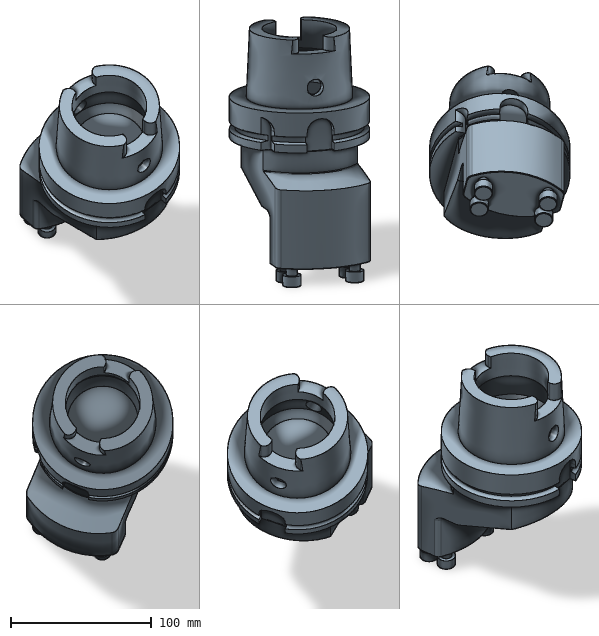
import cadquery as cq
import math


shank_length = 49.9
shank_base_diameter = 75.8
shank_top_diameter = 71.3
cross_hole_diameter = 12.0
cross_hole_depth = 34.8

mouth_diameter = 53.0
mouth_depth = 20.5
undercut_diameter = 63.1
undercut_end_depth = 41.2
shoulder_angle = 30.0
floor_diameter = 50.3

drive_slot_width = 19.1
drive_slot_depth_minus_x = 10.0
drive_slot_depth_plus_x = 15.0
drive_slot_corner_radius = 5.5
drive_slot_flare_x = 32.2

flange_diameter = 100.0
flange_thickness = 29.2
groove_diameter = 92.2
groove_floor_top = -18.6
groove_floor_bottom = -22.5
groove_edge_run_out = 1.0

flange_slot_width = 20.0
flange_slot_top = -4.7
flange_slot_floor_x = 43.8
notch_floor_x = 31.5
notch_y = 41.4

neck_radius = 43.5
neck_fillet_radius = 0.7
body_width = 70.8
foot_reach = 68.0
foot_inner_x = -28.0
foot_arc_radius = 60.9
foot_outer_corner_radius = 5.9
foot_inner_corner_radius = 4.9
foot_top_inner_z = -45.9
foot_top_outer_z = -52.7
foot_bottom_z = -110.3
foot_bottom_chamfer = 0.5
arm_underside_z = -72.3
arm_slope_start_x = -22.0
arm_slope_end_z = -48.2
foot_root_radius = 4.2

screw_xs = (-55.1, -40.2)
screw_y = 23.5
screw_stem_diameter = 8.0
screw_head_diameter = 13.0
screw_head_height = 8.0
screw_head_chamfer = 0.5
total_height = 173.9
screw_bottom_z = shank_length - total_height

body_half_width = body_width / 2
body_height = -flange_thickness - foot_bottom_z


def revolve_profile(points):
    """Revolve a closed (radius, z) outline around the Z axis."""
    return cq.Workplane("XZ").polyline(points).close().revolve(360, (0, 0, 0), (0, 1, 0))


def make_shank_and_flange():
    flange_radius = flange_diameter / 2
    groove_radius = groove_diameter / 2
    return revolve_profile([
        (0, shank_length),
        (shank_top_diameter / 2, shank_length),
        (shank_base_diameter / 2, 0),
        (flange_radius, 0),
        (flange_radius, groove_floor_top + groove_edge_run_out),
        (groove_radius, groove_floor_top),
        (groove_radius, groove_floor_bottom),
        (flange_radius, groove_floor_bottom - groove_edge_run_out),
        (flange_radius, -flange_thickness),
        (0, -flange_thickness),
    ])


def make_clamping_bore():
    slope = math.tan(math.radians(shoulder_angle))
    mouth_radius = mouth_diameter / 2
    undercut_radius = undercut_diameter / 2
    floor_radius = floor_diameter / 2
    mouth_z = shank_length - mouth_depth
    undercut_end_z = shank_length - undercut_end_depth
    return revolve_profile([
        (0, shank_length),
        (mouth_radius, shank_length),
        (mouth_radius, mouth_z),
        (undercut_radius, mouth_z - (undercut_radius - mouth_radius) * slope),
        (undercut_radius, undercut_end_z),
        (floor_radius, undercut_end_z - (undercut_radius - floor_radius) * slope),
        (0, undercut_end_z - (undercut_radius - floor_radius) * slope),
    ])


def make_drive_slot(side, depth):
    """Slot in the shank end, flaring outward with round corners; side is 1 for +X and -1 for -X."""
    half_width = drive_slot_width / 2
    radius = drive_slot_corner_radius
    arc_x = drive_slot_flare_x - radius
    arc_y = half_width + radius
    mid_x = arc_x + radius * math.sin(math.pi / 4)
    mid_y = arc_y - radius * math.cos(math.pi / 4)
    outer = shank_base_diameter / 2
    outline = (
        cq.Workplane("XY", origin=(0, 0, shank_length - depth))
        .moveTo(0, -half_width)
        .lineTo(side * arc_x, -half_width)
        .threePointArc((side * mid_x, -mid_y), (side * drive_slot_flare_x, -arc_y))
        .lineTo(side * drive_slot_flare_x, -outer)
        .lineTo(side * outer, -outer)
        .lineTo(side * outer, outer)
        .lineTo(side * drive_slot_flare_x, outer)
        .lineTo(side * drive_slot_flare_x, arc_y)
        .threePointArc((side * mid_x, mid_y), (side * arc_x, half_width))
        .lineTo(0, half_width)
        .close()
    )
    return outline.extrude(depth)


def make_cross_hole():
    length = shank_base_diameter
    return (
        cq.Workplane("YZ", origin=(-length / 2, 0, shank_length - cross_hole_depth))
        .circle(cross_hole_diameter / 2)
        .extrude(length)
    )


def make_flange_slot(side, floor_x, y):
    """Round-topped slot, open below, cut along X from the outside down to floor_x."""
    radius = flange_slot_width / 2
    arc_z = flange_slot_top - radius
    return (
        cq.Workplane("YZ", origin=(side * floor_x, 0, 0))
        .moveTo(y - radius, -flange_thickness)
        .lineTo(y - radius, arc_z)
        .threePointArc((y, flange_slot_top), (y + radius, arc_z))
        .lineTo(y + radius, -flange_thickness)
        .close()
        .extrude(side * (flange_diameter / 2 - floor_x))
    )


def make_box(length, width, height, bottom_z):
    """Box centred on the shank axis, standing on bottom_z."""
    base = cq.Workplane("XY", origin=(0, 0, bottom_z))
    return base.box(length, width, height, centered=(True, True, False))


def make_disc(radius, center_x):
    """Disc standing on the foot's bottom plane and reaching up to the flange."""
    return (
        cq.Workplane("XY", origin=(center_x, 0, foot_bottom_z))
        .circle(radius)
        .extrude(body_height)
    )


def make_flat_sided_disc():
    """Disc bounding the foot on -X, trimmed to the body width, with its -X corners rounded."""
    width_limit = make_box(2 * foot_reach, body_width, body_height, foot_bottom_z)
    disc = make_disc(foot_arc_radius, foot_arc_radius - foot_reach).intersect(width_limit)
    return disc.edges("|Z").edges("<X").fillet(foot_outer_corner_radius)


def make_cone_on_neck():
    """Turned envelope of the neck and the cone below it, with small fillets at both ends of the neck."""
    radius = neck_fillet_radius
    fall_angle = math.atan2(foot_top_inner_z - foot_top_outer_z, foot_reach - neck_radius)
    tangent_length = radius / math.tan((math.pi / 2 + fall_angle) / 2)
    cone_start = (
        neck_radius + tangent_length * math.cos(fall_angle),
        foot_top_inner_z - tangent_length * math.sin(fall_angle),
    )
    return (
        cq.Workplane("XZ")
        .moveTo(0, -flange_thickness)
        .lineTo(neck_radius + radius, -flange_thickness)
        .radiusArc((neck_radius, -flange_thickness - radius), -radius)
        .lineTo(neck_radius, foot_top_inner_z + tangent_length)
        .tangentArcPoint(cone_start, relative=False)
        .lineTo(foot_reach, foot_top_outer_z)
        .lineTo(foot_reach, foot_bottom_z)
        .lineTo(0, foot_bottom_z)
        .close()
        .revolve(360, (0, 0, 0), (0, 1, 0))
    )


def make_arm():
    """Neck and arm: rounded on +X, sloped underneath and falling off as a cone around the neck on -X."""
    side_outline = (
        cq.Workplane("XZ")
        .moveTo(-foot_reach, -flange_thickness)
        .lineTo(neck_radius, -flange_thickness)
        .lineTo(neck_radius, arm_slope_end_z)
        .lineTo(arm_slope_start_x, arm_underside_z)
        .lineTo(-foot_reach, arm_underside_z)
        .close()
        .extrude(body_half_width, both=True)
    )
    cone_on_neck = make_cone_on_neck()
    offset_half = make_box(foot_reach, body_width, body_height, foot_bottom_z)
    offset_half = offset_half.translate((-foot_reach / 2, 0, 0))
    plan = make_disc(neck_radius, 0).union(offset_half).intersect(make_flat_sided_disc())
    return plan.intersect(side_outline).intersect(cone_on_neck)


def make_foot():
    """Upright foot between the outer arc and the bulging inner arc, flared into the arm by a root fillet."""
    inner_disc = make_disc(foot_arc_radius, foot_inner_x - foot_arc_radius)
    foot = make_flat_sided_disc().intersect(inner_disc)
    foot = foot.edges("|Z").edges(">X").fillet(foot_inner_corner_radius)
    foot = foot.faces("<Z").chamfer(foot_bottom_chamfer)
    oversize_plate = make_box(4 * foot_reach, 2 * body_width, -arm_underside_z, arm_underside_z)
    tolerance = 0.2
    root_edges = cq.selectors.BoxSelector(
        (-foot_reach - tolerance, -body_half_width - tolerance, arm_underside_z - tolerance),
        (foot_inner_x + tolerance, body_half_width + tolerance, arm_underside_z + tolerance),
    )
    flared = foot.union(oversize_plate).edges(root_edges).fillet(foot_root_radius)
    below_arm = make_box(2 * foot_reach, body_width, arm_underside_z - foot_bottom_z, foot_bottom_z)
    return flared.intersect(below_arm).intersect(make_flat_sided_disc())


def make_screw(x, y):
    head = (
        cq.Workplane("XY", origin=(x, y, screw_bottom_z))
        .circle(screw_head_diameter / 2)
        .extrude(screw_head_height)
        .faces("<Z")
        .chamfer(screw_head_chamfer)
    )
    stem = (
        cq.Workplane("XY", origin=(x, y, screw_bottom_z + screw_head_height))
        .circle(screw_stem_diameter / 2)
        .extrude(foot_bottom_z - screw_bottom_z - screw_head_height)
    )
    return head.union(stem)


result = make_shank_and_flange()
result = result.cut(make_clamping_bore())
result = result.cut(make_cross_hole())

for side, slot_depth in ((-1, drive_slot_depth_minus_x), (1, drive_slot_depth_plus_x)):
    result = result.cut(make_drive_slot(side, slot_depth))
    result = result.cut(make_flange_slot(side, flange_slot_floor_x, 0))
result = result.cut(make_flange_slot(-1, notch_floor_x, notch_y))

result = result.union(make_arm().union(make_foot()))
for screw_x in screw_xs:
    for screw_side in (-1, 1):
        result = result.union(make_screw(screw_x, screw_side * screw_y))